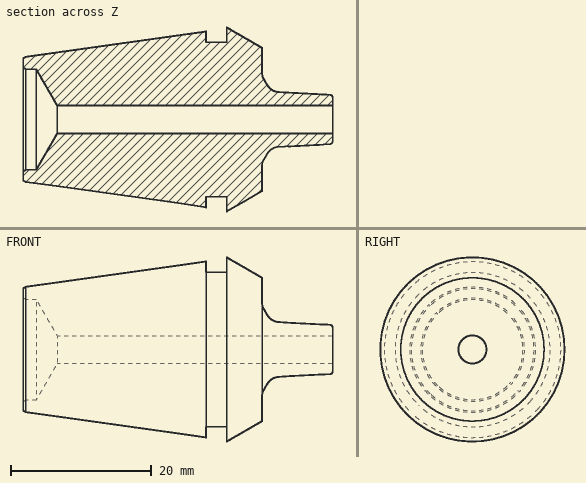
import cadquery as cq
import math

total_length = 44.0
groove_start = 26.0
groove_end = 28.9
flange_end = 33.95

flange_radius = 13.1
groove_radius = 11.0
taper_small_radius = 8.95
taper_angle = 8.0
flange_bevel_angle = 30.0

root_radius = 3.9
face_fillet = 1.5
spigot_fillet = 2.0
root_cone_length = 0.55
root_cone_angle = 60.0
spigot_draft_angle = 3.0
tip_fillet = 0.45

chamfer_length = 0.4
chamfer_angle = 30.0

bore_radius = 7.15
bore_depth = 1.85
drill_half_angle = 60.0
through_radius = 2.0


def tan_deg(angle):
    return math.tan(math.radians(angle))


def arc_point(centre, radius, angle):
    """Point on a concave root arc; 0 degrees faces the axis and 90 degrees faces the flange."""
    a = math.radians(angle)
    return (centre[0] - radius * math.sin(a), centre[1] - radius * math.cos(a))


def root_arc_points(centre, radius, start_angle, end_angle):
    """Start, middle and end of a root arc."""
    middle_angle = (start_angle + end_angle) / 2
    return [arc_point(centre, radius, a) for a in (start_angle, middle_angle, end_angle)]


def revolve_about_x(profile):
    return profile.close().revolve(360, (0, 0, 0), (1, 0, 0))


def make_body():
    chamfer_depth = chamfer_length * tan_deg(chamfer_angle)
    taper_large_radius = taper_small_radius + (groove_start - chamfer_length) * tan_deg(taper_angle)
    flange_face_radius = flange_radius - (flange_end - groove_end) * tan_deg(flange_bevel_angle)

    cone_drop = root_cone_length * tan_deg(root_cone_angle)
    cone_sin = math.sin(math.radians(root_cone_angle))
    cone_cos = math.cos(math.radians(root_cone_angle))
    cone_end_x = flange_end + face_fillet * (1 - cone_sin) + root_cone_length
    spigot_centre = (
        cone_end_x + spigot_fillet * cone_sin,
        root_radius + spigot_fillet * math.cos(math.radians(spigot_draft_angle)),
    )
    cone_end_radius = spigot_centre[1] - spigot_fillet * cone_cos
    face_centre = (
        flange_end + face_fillet,
        cone_end_radius + cone_drop + face_fillet * cone_cos,
    )
    face_arc = root_arc_points(face_centre, face_fillet, 90, root_cone_angle)
    spigot_arc = root_arc_points(spigot_centre, spigot_fillet, root_cone_angle, spigot_draft_angle)

    tip_radius = root_radius - (total_length - spigot_arc[2][0]) * tan_deg(spigot_draft_angle)

    profile = (
        cq.Workplane("XY")
        .moveTo(0, 0)
        .lineTo(0, taper_small_radius - chamfer_depth)
        .lineTo(chamfer_length, taper_small_radius)
        .lineTo(groove_start, taper_large_radius)
        .lineTo(groove_start, groove_radius)
        .lineTo(groove_end, groove_radius)
        .lineTo(groove_end, flange_radius)
        .lineTo(flange_end, flange_face_radius)
        .lineTo(*face_arc[0])
        .threePointArc(face_arc[1], face_arc[2])
        .lineTo(*spigot_arc[0])
        .threePointArc(spigot_arc[1], spigot_arc[2])
        .lineTo(total_length, tip_radius)
        .lineTo(total_length, 0)
    )
    return revolve_about_x(profile).faces(">X").edges().fillet(tip_fillet)


def make_bore():
    mouth_radius = bore_radius + chamfer_length * tan_deg(chamfer_angle)
    cone_end = bore_depth + (bore_radius - through_radius) / tan_deg(drill_half_angle)
    profile = (
        cq.Workplane("XY")
        .moveTo(0, 0)
        .lineTo(0, mouth_radius)
        .lineTo(chamfer_length, bore_radius)
        .lineTo(bore_depth, bore_radius)
        .lineTo(cone_end, through_radius)
        .lineTo(total_length, through_radius)
        .lineTo(total_length, 0)
    )
    return revolve_about_x(profile)


result = make_body().cut(make_bore())